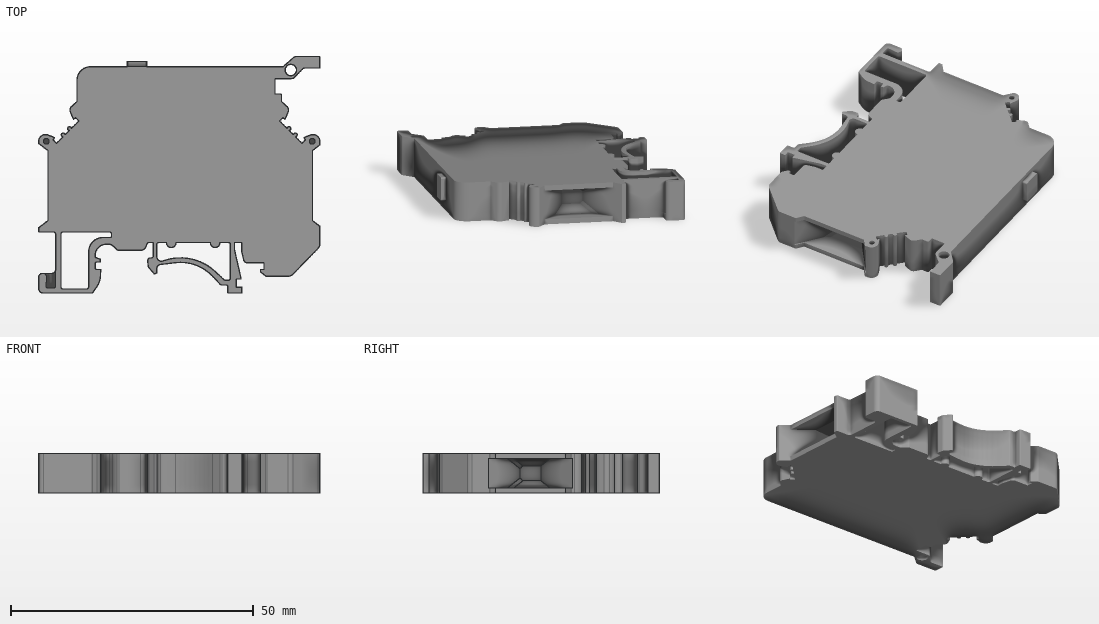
import math

import cadquery as cq

LENGTH = 58.0
WIDTH = 48.8
THICKNESS = 8.2
MID_X = LENGTH / 2

TOP_Y = 46.7
SHELF_Y = 12.6
RAIL_Y = 10.4
PAD_Y = 8.8
LUG_TOP_Y = 32.7
SHOULDER_X = 7.9
SHOULDER_Y = 39.5
SHOULDER_RADIUS = 2.8

LEFT_WALL = 1.9
RIGHT_WALL = 1.5
ENTRY_LOW_Y = 14.95
ENTRY_HIGH_Y = 29.4
ENTRY_SLOPE = 0.77
ENTRY_SKIN = 1.05
ENTRY_SEAT_HEIGHT = 3.05
ENTRY_SEAT_WIDTH = 4.3
ENTRY_TAPER_RUN = 2.5
ENTRY_CHAMFER = 0.5
ENTRY_DEPTH = (ENTRY_HIGH_Y - ENTRY_LOW_Y - ENTRY_SEAT_WIDTH) / 2 / ENTRY_SLOPE

NOTCH_X = 3.7
NOTCH_Y = 30.9
NOTCH_LENGTH = 4.6
NOTCH_LIP = 0.7
RIDGE_RADIUS = 0.4
RIDGE_STEPS = (1.55, 2.85)
RIDGE_RISE = 0.18
PIVOT_X = 1.6
PIVOT_Y = 31.3
PIVOT_DIAMETER = 1.2
PIVOT_DEPTH = 2.0

ARM_HOLE_X = 52.0
ARM_HOLE_Y = 46.0
ARM_HOLE_DIAMETER = 2.3
ARM_UNDER_Y = 44.2
ARM_TIP_UNDER_Y = 46.4
ARM_ROOT_X = 48.75
ARM_STEP_Y = 41.1
TAB_LEFT_X = 18.25
TAB_LENGTH = 4.1
TAB_RISE = 1.1
TAB_LOW_Z = 2.2
TAB_HIGH_Z = 7.1
TAB_FILLET = 0.3

FOOT_WALL_LEFT = 3.5
FOOT_WALL_RIGHT = 4.65
FOOT_WINDOW_RIGHT = 10.3
FOOT_BASE = 0.9
FOOT_INNER_X = 11.7
FOOT_HOOK_FLOOR = 1.1
SLOT_END_X = 15.0
SLOT_LOW_Y = 11.5
HOOK_ROOF_Y = 10.05
WEB_TOP_Y = 4.1
WEB_LEFT_X = 0.8
WEB_THICKNESS = 1.1
WEB_FILLET = 0.8

RIGHT_FOOT_Y = 3.45
RIGHT_CLAW_X = 45.7
RIGHT_GROOVE_X = 46.45
RIGHT_GROOVE_TOP_Y = 6.25
GROOVE_LOW_Y = 4.9
LEFT_GROOVE_TOP_Y = 6.4
LATCH_GAP_X = 41.85

LATCH_OVERLAP = 0.2
STEM_LEFT = 23.6
STEM_RIGHT = 24.4
HEAD_TOP_Y = 7.3
LEG_LEFT = 39.5
LEG_TOP_RIGHT = 40.4
LEG_RIGHT = 41.8
LEG_NOTCH_X = 40.8
LEG_NOTCH_LOW_Y = 1.25
LEG_NOTCH_HIGH_Y = 2.9
LEG_FOOT_LEFT = 38.95
LEG_FOOT_RIGHT = 41.9
ARCH_END_LOW_Y = 1.65
ARCH_END_HIGH_Y = 2.7
ARCH_OUTER_RADIUS = 10.5
ARCH_INNER_RADIUS = 9.0
STOP_RADIUS = 1.0
STOP_POSITIONS = (27.35, 36.4)


def rounded_outline(corners):
    """Closed wire through (x, y, radius) corners; radius 0 keeps a corner sharp."""
    count = len(corners)
    tangents = []
    for i, (x, y, radius) in enumerate(corners):
        here = cq.Vector(x, y)
        before = (cq.Vector(*corners[i - 1][:2]) - here).normalized()
        after = (cq.Vector(*corners[(i + 1) % count][:2]) - here).normalized()
        half_angle = before.getAngle(after) / 2
        setback = radius / math.tan(half_angle)
        bisector = (before + after).normalized()
        middle = here + bisector * (radius / math.sin(half_angle) - radius)
        tangents.append((here + before * setback, middle, here + after * setback))
    edges = []
    for i, (start, middle, end) in enumerate(tangents):
        if corners[i][2] > 0:
            edges.append(cq.Edge.makeThreePointArc(start, middle, end))
        edges.append(cq.Edge.makeLine(end, tangents[(i + 1) % count][0]))
    return cq.Wire.assembleEdges(edges)


def plate(corners, thickness=THICKNESS):
    """Flat plate of the given outline standing on Z = 0."""
    return cq.Workplane("XY").add(rounded_outline(corners)).toPending().extrude(thickness)


def disc(x, y, radius, thickness=THICKNESS, low_z=0.0):
    """Cylinder along Z."""
    return cq.Workplane("XY", origin=(x, y, low_z)).circle(radius).extrude(thickness)


def both_ends(shape):
    """The shape together with its mirror image at the other end."""
    return shape.union(shape.mirror("YZ", (MID_X, 0, 0)))


def end_corners(wall):
    """Corners of one end, from the lower lug up to the shoulder, for the left end."""
    slant = ENTRY_SLOPE * wall
    notch_top_x = NOTCH_X + NOTCH_LENGTH
    notch_top_y = NOTCH_Y + NOTCH_LENGTH
    return [
        (0, ENTRY_LOW_Y - slant, 0.1),
        (wall, ENTRY_LOW_Y, 0),
        (wall, ENTRY_HIGH_Y, 0),
        (0, ENTRY_HIGH_Y + slant, 0.2),
        (0, LUG_TOP_Y, 1.4),
        (1.75, LUG_TOP_Y, 0.3),
        (3.4, 32.05, 0.1),
        (NOTCH_X - NOTCH_LIP, NOTCH_Y + NOTCH_LIP, 0),
        (NOTCH_X, NOTCH_Y, 0),
        (notch_top_x, notch_top_y, 0),
        (notch_top_x - NOTCH_LIP, notch_top_y + NOTCH_LIP, 0.2),
        (7.2, 35.8, 0),
        (6.25, 38.0, 1.0),
        (SHOULDER_X, SHOULDER_Y, 0),
    ]


def mirrored_corners(corners):
    """Corner list seen at the other end, in running order."""
    return [(LENGTH - x, y, radius) for x, y, radius in reversed(corners)]


def arm_corners():
    """Shoulder and marker arm, from the upper edge to the right-hand end."""
    return [
        (50.4, TOP_Y, 0),
        (52.8, WIDTH, 0.6),
        (LENGTH, WIDTH, 0.2),
        (LENGTH, ARM_TIP_UNDER_Y, 0),
        (54.6, ARM_TIP_UNDER_Y, 0.8),
        (52.5, ARM_UNDER_Y, 1.0),
        (ARM_ROOT_X, ARM_UNDER_Y, 0),
        (ARM_ROOT_X, ARM_STEP_Y, 0),
        (LENGTH - SHOULDER_X, ARM_STEP_Y, 0.3),
    ]


def right_foot_corners():
    """Right-hand foot, from its outer side to the latch gap."""
    return [
        (LENGTH, 9.6, 1.4),
        (52.0, RIGHT_FOOT_Y, 1.5),
        (46.9, RIGHT_FOOT_Y, 0.6),
        (RIGHT_CLAW_X, 4.4, 0.1),
        (RIGHT_CLAW_X, GROOVE_LOW_Y, 0),
        (RIGHT_GROOVE_X, GROOVE_LOW_Y, 0),
        (RIGHT_GROOVE_X, RIGHT_GROOVE_TOP_Y, 0),
        (42.4, RIGHT_GROOVE_TOP_Y, 0.8),
        (LATCH_GAP_X, 8.6, 0.5),
        (LATCH_GAP_X, RAIL_Y, 0.1),
    ]


def left_foot_corners():
    """Pad and left foot, from the latch gap round to the lower lug."""
    return [
        (22.5, RAIL_Y, 0.2),
        (21.8, PAD_Y, 1.2),
        (16.3, PAD_Y, 0.6),
        (SLOT_END_X, HOOK_ROOF_Y, 1.0),
        (FOOT_INNER_X, HOOK_ROOF_Y, 2.2),
        (FOOT_INNER_X, 7.4, 0.2),
        (12.75, 7.0, 0.1),
        (12.75, LEFT_GROOVE_TOP_Y, 0),
        (FOOT_INNER_X, LEFT_GROOVE_TOP_Y, 0.3),
        (FOOT_INNER_X, GROOVE_LOW_Y, 0.3),
        (12.85, GROOVE_LOW_Y, 0),
        (12.7, 2.3, 4.0),
        (11.1, 0, 0.2),
        (0, 0, 1.0),
        (0, WEB_TOP_Y, 0.8),
        (1.7, WEB_TOP_Y, 0.8),
        (1.5, FOOT_HOOK_FLOOR, 0.3),
        (FOOT_WALL_LEFT, FOOT_HOOK_FLOOR, 0.3),
        (FOOT_WALL_LEFT, SHELF_Y, 0.5),
        (0, SHELF_Y, 0.2),
    ]


def make_body():
    """Housing with both feet, the marker arm and the window of the left foot."""
    upper_left = [(SHOULDER_X, TOP_Y, SHOULDER_RADIUS)]
    corners = end_corners(LEFT_WALL) + upper_left + arm_corners()
    corners += mirrored_corners(end_corners(RIGHT_WALL))
    corners += right_foot_corners() + left_foot_corners()
    window = [
        (FOOT_WALL_RIGHT, FOOT_BASE, 0.35),
        (FOOT_WALL_RIGHT, SHELF_Y, 0.35),
        (SLOT_END_X, SHELF_Y, 0.3),
        (SLOT_END_X, SLOT_LOW_Y, 0.2),
        (FOOT_WINDOW_RIGHT, SLOT_LOW_Y, 3.0),
        (FOOT_WINDOW_RIGHT, FOOT_BASE, 0.35),
    ]
    return plate(corners).cut(plate(window))


def make_hook_web():
    """Thin web closing the bottom of the left hook, with a fillet up to the foot wall."""
    web = [
        (WEB_LEFT_X, FOOT_BASE, 0),
        (WEB_LEFT_X, WEB_TOP_Y, 0),
        (FOOT_WALL_LEFT, WEB_TOP_Y, WEB_FILLET),
        (FOOT_WALL_LEFT, WEB_TOP_Y + 2 * WEB_FILLET, 0),
        (FOOT_WALL_RIGHT, WEB_TOP_Y + 2 * WEB_FILLET, 0),
        (FOOT_WALL_RIGHT, FOOT_BASE, 0),
    ]
    return plate(web, WEB_THICKNESS)


def make_latch():
    """Sprung latch: two legs joined by an arch, with the space above the arch open."""
    root_y = RAIL_Y + LATCH_OVERLAP
    frame = [
        (STEM_LEFT, root_y, 0),
        (STEM_LEFT, HEAD_TOP_Y, 0.3),
        (22.4, HEAD_TOP_Y, 0.6),
        (22.6, 5.4, 0.8),
        (23.9, 3.9, 0.2),
        (STEM_RIGHT, 4.2, 0),
        (STEM_RIGHT, 5.8, 0.8),
        (32.7, 6.8, ARCH_INNER_RADIUS),
        (37.6, ARCH_END_LOW_Y, 0.6),
        (LEG_FOOT_LEFT, ARCH_END_LOW_Y, 0.2),
        (LEG_FOOT_LEFT, 0, 0.2),
        (LEG_FOOT_RIGHT, 0, 0.1),
        (LEG_FOOT_RIGHT, LEG_NOTCH_LOW_Y, 0),
        (LEG_NOTCH_X, LEG_NOTCH_LOW_Y, 0),
        (LEG_NOTCH_X, LEG_NOTCH_HIGH_Y, 0),
        (LEG_RIGHT, LEG_NOTCH_HIGH_Y, 0.1),
        (LEG_TOP_RIGHT, 9.0, 0.5),
        (LEG_TOP_RIGHT, root_y, 0),
    ]
    opening = [
        (STEM_RIGHT, RAIL_Y, 0.3),
        (LEG_LEFT, RAIL_Y, 0.3),
        (LEG_LEFT, ARCH_END_HIGH_Y, 0.3),
        (38.3, ARCH_END_HIGH_Y, 0.5),
        (31.9, 8.8, ARCH_OUTER_RADIUS),
        (STEM_RIGHT, 6.25, 0.9),
    ]
    latch = plate(frame).cut(plate(opening))
    for x in STOP_POSITIONS:
        latch = latch.union(disc(x, RAIL_Y, STOP_RADIUS))
    return latch


def make_ridges():
    """Two small round ridges along the floor of the left marker notch."""
    ridges = cq.Workplane("XY")
    for step in RIDGE_STEPS:
        x = NOTCH_X + step - RIDGE_RISE
        y = NOTCH_Y + step + RIDGE_RISE
        ridges = ridges.union(disc(x, y, RIDGE_RADIUS))
    return ridges


def make_tab():
    """Label tab on the upper edge with rounded upright corners."""
    height = TAB_HIGH_Z - TAB_LOW_Z
    corner = (TAB_LEFT_X, TOP_Y - TAB_RISE, TAB_LOW_Z)
    tab = cq.Workplane("XY", origin=corner).box(TAB_LENGTH, 2 * TAB_RISE, height, centered=False)
    return tab.edges("|Y").fillet(TAB_FILLET)


def make_entry():
    """Funnel of the left wire entry: tapered on all four sides down to a flat seat."""
    mouth_low = ENTRY_LOW_Y - ENTRY_SLOPE * LEFT_WALL
    mouth_high = ENTRY_HIGH_Y + ENTRY_SLOPE * LEFT_WALL
    seat_x = LEFT_WALL + ENTRY_DEPTH
    taper_x = seat_x - ENTRY_TAPER_RUN
    seat_low_y = ENTRY_LOW_Y + ENTRY_SLOPE * ENTRY_DEPTH
    seat_high_y = seat_low_y + ENTRY_SEAT_WIDTH
    plan = [(0, mouth_low), (seat_x, seat_low_y), (seat_x, seat_high_y), (0, mouth_high)]

    low_z = ENTRY_SKIN
    high_z = THICKNESS - ENTRY_SKIN
    seat_low_z = (THICKNESS - ENTRY_SEAT_HEIGHT) / 2
    seat_high_z = seat_low_z + ENTRY_SEAT_HEIGHT
    side = [
        (0, low_z),
        (taper_x, low_z),
        (seat_x, seat_low_z),
        (seat_x, seat_high_z),
        (taper_x, high_z),
        (0, high_z),
    ]
    funnel = cq.Workplane("XY").polyline(plan).close().extrude(THICKNESS)
    depth_profile = cq.Workplane("XZ").polyline(side).close().extrude(-WIDTH)
    funnel = funnel.intersect(depth_profile)

    corner_x = (taper_x + seat_x) / 2
    corner_y = ENTRY_LOW_Y + ENTRY_SLOPE * (corner_x - LEFT_WALL)
    for corner_z in ((low_z + seat_low_z) / 2, (high_z + seat_high_z) / 2):
        nearest = cq.selectors.NearestToPointSelector((corner_x, corner_y, corner_z))
        funnel = funnel.edges(nearest).chamfer(ENTRY_CHAMFER)
    return funnel


def make_pivot_hole():
    """Blind hole in the left upper lug."""
    low_z = THICKNESS - PIVOT_DEPTH
    return disc(PIVOT_X, PIVOT_Y, PIVOT_DIAMETER / 2, PIVOT_DEPTH, low_z)


result = make_body().union(make_hook_web()).union(make_latch()).union(make_tab())
result = result.union(both_ends(make_ridges()))
result = result.cut(both_ends(make_entry())).cut(both_ends(make_pivot_hole()))
result = result.cut(disc(ARM_HOLE_X, ARM_HOLE_Y, ARM_HOLE_DIAMETER / 2))